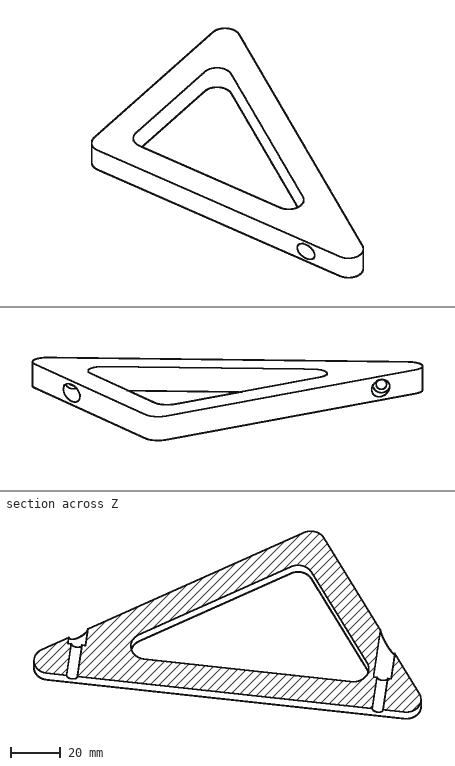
import cadquery as cq
import math

length = 130.36
width = 94.49
thickness = 10.0
corner_radius = 6.0

leg_bar = 12.0
sloped_bar = 11.7

bore_diameter = 7.0
screw_diameter = 4.2
bottom_hole_x = 107.8
left_hole_y = 61.0
screw_land = 15.0

outer_near = corner_radius
outer_far_x = length - corner_radius
outer_far_y = width - corner_radius

slope_angle = math.atan2(outer_far_y - outer_near, outer_far_x - outer_near)
normal_x = math.sin(slope_angle)
normal_y = math.cos(slope_angle)

sloped_face_offset = outer_far_x * normal_x + outer_near * normal_y + corner_radius


def rounded_triangle(near, far_x, far_y):
    """Solid right triangle given by the centres of its corner rounds."""
    centres = [(near, near), (far_x, near), (near, far_y)]
    outline = cq.Workplane("XY").polyline(centres).close().offset2D(corner_radius)
    return outline.extrude(thickness)


def make_window():
    """Triangular opening that leaves a bar along each side."""
    near = leg_bar + corner_radius
    centre_line_offset = sloped_face_offset - sloped_bar - corner_radius
    far_x = (centre_line_offset - near * normal_y) / normal_x
    far_y = (centre_line_offset - near * normal_x) / normal_y
    return rounded_triangle(near, far_x, far_y)


def make_screw_hole(x, y):
    """Stepped hole entering at (x, y) and leaving through the sloped face."""
    depth = sloped_face_offset - x * normal_x - y * normal_y
    bore_depth = depth - screw_land
    overrun = bore_diameter
    axis = cq.Vector(normal_x, normal_y, 0)
    entry = cq.Vector(x, y, thickness / 2)
    start = entry - axis * overrun
    bore = cq.Solid.makeCylinder(bore_diameter / 2, bore_depth + overrun, start, axis)
    screw = cq.Solid.makeCylinder(screw_diameter / 2, depth + overrun, entry, axis)
    return bore.fuse(screw)


frame = rounded_triangle(outer_near, outer_far_x, outer_far_y).cut(make_window())
for hole_x, hole_y in [(bottom_hole_x, 0), (0, left_hole_y)]:
    frame = frame.cut(cq.Workplane(make_screw_hole(hole_x, hole_y)))

result = frame.solids()